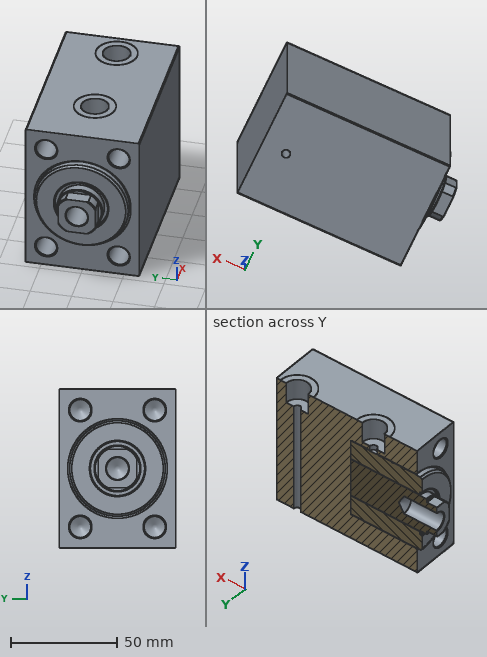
import cadquery as cq
import math

OVERALL_LENGTH = 97
ROD_REACH = 12.0
BLOCK_LENGTH = OVERALL_LENGTH - ROD_REACH
BLOCK_WIDTH = 55.0
BLOCK_HEIGHT = 75.0
BLOCK_EDGE_CHAMFER = 0.5

BORE_DIAMETER = 45.0
BORE_DEPTH = 40.0
BORE_MOUTH_CHAMFER = 1.0

GLAND_REACH = 3.0
GLAND_CHAMFER = 1.0
GLAND_STEP_DIAMETER = 26.5
GLAND_STEP_DEPTH = 0.5
GLAND_RECESS_DIAMETER = 25.5
GLAND_RECESS_DEPTH = 1.5

ROD_DIAMETER = 22.0
ROD_CHAMFER = 0.5
NOSE_DIAMETER = 21.1
NOSE_LENGTH = 6.0
NOSE_CHAMFER = 0.4
NOSE_ACROSS_FLATS = 18.0

ROD_HOLE_DIAMETER = 10.5
ROD_HOLE_CHAMFER = 0.3

BOLT_HOLE_DIAMETER = 10.0
BOLT_HOLE_CHAMFER = 0.5
BLIND_HOLE_DEPTH = 20.0
DRILL_POINT_ANGLE = 118
BOLT_SPACING_Y = 35.0
BOLT_SPACING_Z = 55.0

FRONT_PORT_X = 26.5
REAR_PORT_X = 72.6
SPOTFACE_DIAMETER = 20.0
SPOTFACE_DEPTH = 0.1
PORT_DIAMETER = 13.2
PORT_DEPTH = 12.0
PASSAGE_DIAMETER = 4.0


def cylinder_x(diameter, start, end):
    """Cylinder on the X axis running from start to end."""
    return cq.Workplane("YZ", origin=(start, 0, 0)).circle(diameter / 2).extrude(end - start)


def chamfered_cylinder_x(diameter, start, end, chamfer):
    """Cylinder on the X axis with its front rim chamfered."""
    return cylinder_x(diameter, start, end).faces("<X").chamfer(chamfer)


def blind_hole_x(diameter, chamfer, start):
    """Cutter for a hole along the X axis, with a chamfered mouth at start and a drill-point bottom."""
    radius = diameter / 2
    bottom = start + BLIND_HOLE_DEPTH
    point_length = radius / math.tan(math.radians(DRILL_POINT_ANGLE / 2))
    return (
        cq.Workplane("XY")
        .moveTo(start, 0)
        .lineTo(start, radius + chamfer)
        .lineTo(start + chamfer, radius)
        .lineTo(bottom, radius)
        .lineTo(bottom + point_length, 0)
        .close()
        .revolve(360, (0, 0, 0), (1, 0, 0))
    )


def bolt_holes():
    """Cutters for the four bolt holes around the gland."""
    hole = blind_hole_x(BOLT_HOLE_DIAMETER, BOLT_HOLE_CHAMFER, 0)
    return [
        hole.translate((0, side_y * BOLT_SPACING_Y / 2, side_z * BOLT_SPACING_Z / 2))
        for side_y in (-1, 1)
        for side_z in (-1, 1)
    ]


def port(x, passage_depth):
    """Cutter for a spotfaced port in the top face, with a narrow passage below it."""
    top = cq.Workplane("XY", origin=(x, 0, BLOCK_HEIGHT / 2))
    spotface = top.circle(SPOTFACE_DIAMETER / 2).extrude(-SPOTFACE_DEPTH)
    socket = top.circle(PORT_DIAMETER / 2).extrude(-PORT_DEPTH)
    passage = top.circle(PASSAGE_DIAMETER / 2).extrude(-passage_depth)
    return spotface.union(socket).union(passage)


def make_block():
    """Block with its gland bore, bolt holes and oil ports."""
    block = (
        cq.Workplane("XY")
        .box(BLOCK_LENGTH, BLOCK_WIDTH, BLOCK_HEIGHT, centered=(False, True, True))
        .edges("|X")
        .chamfer(BLOCK_EDGE_CHAMFER)
    )
    bore = cylinder_x(BORE_DIAMETER, 0, BORE_DEPTH)
    block = block.cut(bore).faces("<X").edges("%CIRCLE").chamfer(BORE_MOUTH_CHAMFER)
    for hole in bolt_holes():
        block = block.cut(hole)
    block = block.cut(port(FRONT_PORT_X, BLOCK_HEIGHT / 2))
    return block.cut(port(REAR_PORT_X, BLOCK_HEIGHT))


def make_gland():
    """Plug that fills the bore, with a stepped recess around the rod."""
    gland = chamfered_cylinder_x(BORE_DIAMETER, -GLAND_REACH, BORE_DEPTH, GLAND_CHAMFER)
    step = cylinder_x(GLAND_STEP_DIAMETER, -GLAND_REACH, GLAND_STEP_DEPTH - GLAND_REACH)
    recess = cylinder_x(GLAND_RECESS_DIAMETER, -GLAND_REACH, GLAND_RECESS_DEPTH - GLAND_REACH)
    rod_hole = cylinder_x(ROD_DIAMETER, -GLAND_REACH, BORE_DEPTH)
    return gland.cut(step).cut(recess).cut(rod_hole)


def make_rod():
    """Round rod with a nose that has four flats and a blind hole in its end."""
    shoulder = NOSE_LENGTH - ROD_REACH
    shank = chamfered_cylinder_x(ROD_DIAMETER, shoulder, BORE_DEPTH, ROD_CHAMFER)
    nose = chamfered_cylinder_x(NOSE_DIAMETER, -ROD_REACH, shoulder, NOSE_CHAMFER)
    flats = (
        cq.Workplane("YZ", origin=(-ROD_REACH, 0, 0))
        .rect(NOSE_ACROSS_FLATS, NOSE_ACROSS_FLATS)
        .extrude(NOSE_LENGTH)
    )
    hole = blind_hole_x(ROD_HOLE_DIAMETER, ROD_HOLE_CHAMFER, -ROD_REACH)
    return shank.union(nose.intersect(flats)).cut(hole)


block = make_block()
gland = make_gland()
rod = make_rod()

result = cq.Compound.makeCompound([block.val(), gland.val(), rod.val()])